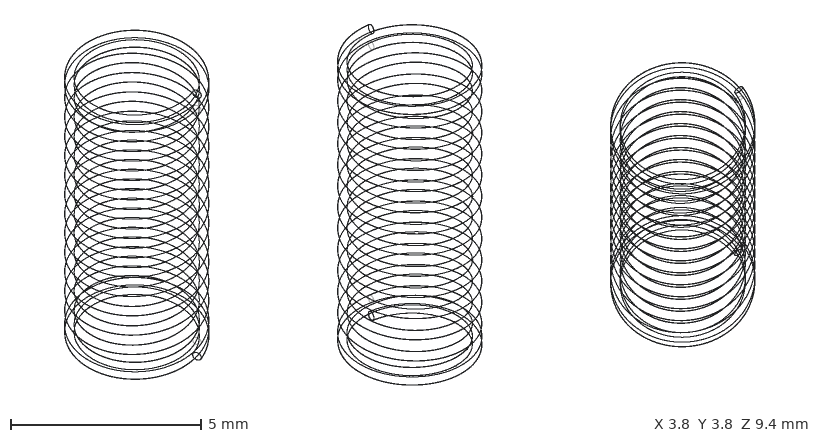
import cadquery as cq

overall_length = 9.4
outer_diameter = 3.8
wire_diameter = 0.25
closed_pitch = 0.26
closed_turns = 2
active_turns = 12

coil_radius = (outer_diameter - wire_diameter) / 2
wire_radius = wire_diameter / 2
closed_height = closed_turns * closed_pitch
active_height = overall_length - wire_diameter - 2 * closed_height
active_pitch = active_height / active_turns


def coil(base_z, pitch, turns):
    """Coil of round wire, starting and ending on a circle in the XZ plane."""
    path = cq.Wire.makeHelix(pitch, pitch * turns, coil_radius, center=cq.Vector(0, 0, base_z))
    section = cq.Workplane("XZ").center(coil_radius, base_z).circle(wire_radius)
    return section.sweep(cq.Workplane(obj=path), isFrenet=True)


lower_z = wire_radius
active_z = lower_z + closed_height
upper_z = active_z + active_height

lower_coil = coil(lower_z, closed_pitch, closed_turns)
active_coil = coil(active_z, active_pitch, active_turns)
upper_coil = coil(upper_z, closed_pitch, closed_turns)

result = lower_coil.union(active_coil).union(upper_coil)